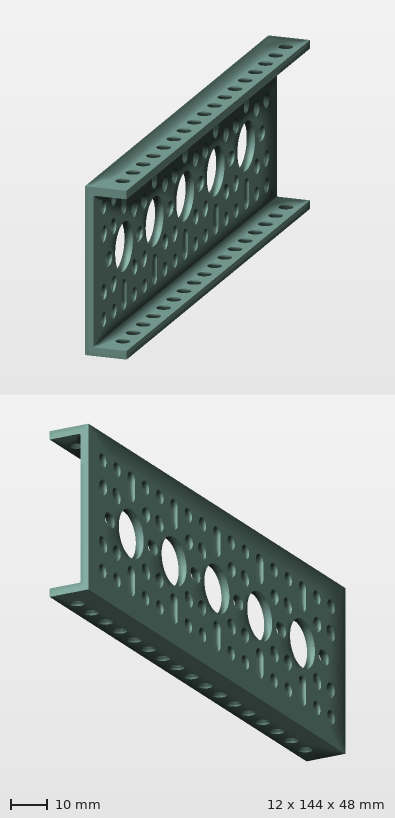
import cadquery as cq
import math

length = 144.0
pitch_count = 18
pitch = length / pitch_count
depth = 1.5 * pitch
height = 6 * pitch
wall = 2.5
inner_fillet = 0.5

hole_diameter = 4.0
bore_diameter = 14.0
bore_count = 5
bore_spacing = 3 * pitch
flange_hole_count = pitch_count - 1
flange_hole_x = pitch

square_corner_radius = math.sqrt(2) * pitch
circle_radius = 1.5 * pitch
outer_row = 2 * pitch


def spaced(count, spacing):
    """Evenly spaced positions centred on zero."""
    return [(i - (count - 1) / 2) * spacing for i in range(count)]


def make_channel():
    """C-shaped channel with its outer web face at X = 0."""
    outer = cq.Workplane("XY").box(depth, length, height, centered=(False, True, True))
    cavity = (
        cq.Workplane("XY")
        .box(depth, length, height - 2 * wall, centered=(False, True, True))
        .translate((wall, 0, 0))
        .edges("|Y and <X")
        .fillet(inner_fillet)
    )
    return outer.cut(cavity)


def web_holes(points, diameter):
    """Round cutters through the web at (y, z) points."""
    return cq.Workplane("YZ").pushPoints(points).circle(diameter / 2).extrude(wall)


def web_slots(points, travel, angle):
    """Round-ended cutters through the web, centred at (y, z) points."""
    slot_length = travel + hole_diameter
    return cq.Workplane("YZ").pushPoints(points).slot2D(slot_length, hole_diameter, angle).extrude(wall)


def flange_holes():
    """Row of round cutters through both flanges."""
    points = [(flange_hole_x, y) for y in spaced(flange_hole_count, pitch)]
    plane = cq.Workplane("XY", origin=(0, 0, -height / 2))
    return plane.pushPoints(points).circle(hole_diameter / 2).extrude(height)


bore_positions = spaced(bore_count, bore_spacing)
between_positions = spaced(bore_count + 1, bore_spacing)

bores = web_holes([(y, 0) for y in bore_positions], bore_diameter)

round_hole_columns = [y + side * pitch / 2 for y in between_positions for side in (-1, 1)]
round_holes = web_holes(
    [(y, z) for y in round_hole_columns for z in (-outer_row, outer_row)],
    hole_diameter,
)

upright_offset = (square_corner_radius + outer_row) / 2
upright_slots = web_slots(
    [(y, z) for y in bore_positions for z in (-upright_offset, upright_offset)],
    outer_row - square_corner_radius,
    90,
)

lengthwise_slots = web_slots(
    [(y, 0) for y in between_positions],
    bore_spacing - 2 * square_corner_radius,
    0,
)

diagonal_offset = (square_corner_radius + circle_radius) / 2 / math.sqrt(2)
diagonal_travel = circle_radius - square_corner_radius


def diagonal_slots(side_y, side_z):
    """One corner slot of every pattern whose slot lies on the channel."""
    centers = [y + side_y * diagonal_offset for y in spaced(bore_count + 2, bore_spacing)]
    points = [(y, side_z * diagonal_offset) for y in centers if abs(y) < length / 2]
    return web_slots(points, diagonal_travel, 45 * side_y * side_z)


result = make_channel()
for cutter in (bores, round_holes, upright_slots, lengthwise_slots, flange_holes()):
    result = result.cut(cutter)
for side_y in (-1, 1):
    for side_z in (-1, 1):
        result = result.cut(diagonal_slots(side_y, side_z))

result = result.translate((-depth / 2, 0, 0))